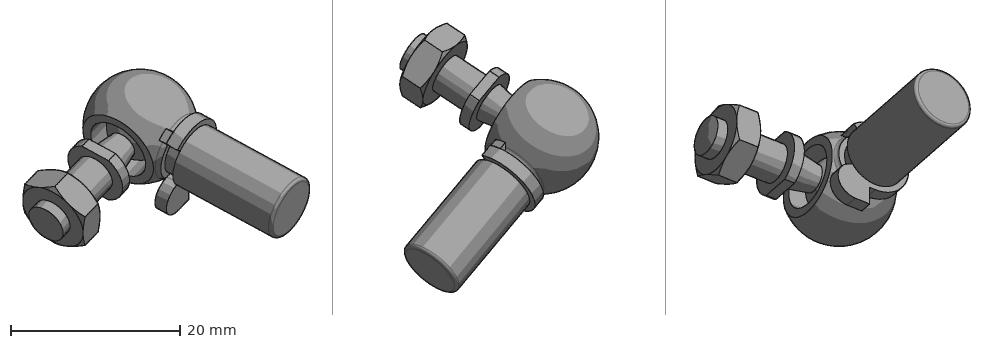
import cadquery as cq
import math


SOCKET_RADIUS = 6.8
SOCKET_FACE_DEPTH = 4.45
SHANK_RADIUS = 4.0
SHANK_END = 22.0
SHANK_END_ROUND = 0.4
NECK_FILLET = 0.8

BALL_RADIUS = 4.0
STUD_RADIUS = 2.5
NECK_FACE_RADIUS = 1.93
COLLAR_START = 7.65
COLLAR_THICKNESS = 1.4
COLLAR_RADIUS = 4.0
COLLAR_FLATS = 7.0
STUD_EDGE = 18.95
STUD_TIP = 19.2

NUT_START = 14.13
NUT_THICKNESS = 3.42
NUT_FLATS = 8.8
NUT_SIDES = 6
NUT_CHAMFER_ANGLE = math.radians(30)

CLIP_START = 5.97
CLIP_WIDTH = 1.68
CLIP_RADIUS = 4.77
GROOVE_RADIUS = 3.2
GROOVE_CLEARANCE = 0.08
CLIP_END_ANGLE = 130
CLIP_TAIL_ANGLE = -90
NUB_START = 4.93
NUB_RADIUS = 4.7
NUB_THICKNESS = 1.6
TAB_RADIUS = 2.42
TAB_BOTTOM = -7.2
TAB_FRONT = -5.3
TAB_BACK = -0.8


def polar(radius, degrees):
    """Sketch point at a radius and an angle from the first sketch axis towards the second."""
    angle = math.radians(degrees)
    return radius * math.cos(angle), radius * math.sin(angle)


def make_socket():
    """Sphere and filleted shank, cut flat at the open face."""
    fillet_r = SHANK_RADIUS + NECK_FILLET
    fillet_reach = SOCKET_RADIUS + NECK_FILLET
    fillet_x = math.sqrt(fillet_reach ** 2 - fillet_r ** 2)
    to_tangent = SOCKET_RADIUS / fillet_reach
    tangent = (fillet_x * to_tangent, fillet_r * to_tangent)
    mid_angle = (math.atan2(-fillet_r, -fillet_x) - math.pi / 2) / 2
    fillet_mid = (
        fillet_x + NECK_FILLET * math.cos(mid_angle),
        fillet_r + NECK_FILLET * math.sin(mid_angle),
    )
    body = (
        cq.Workplane("XY")
        .moveTo(-SOCKET_RADIUS, 0)
        .threePointArc((0, SOCKET_RADIUS), tangent)
        .threePointArc(fillet_mid, (fillet_x, SHANK_RADIUS))
        .lineTo(SHANK_END - SHANK_END_ROUND, SHANK_RADIUS)
        .radiusArc((SHANK_END, SHANK_RADIUS - SHANK_END_ROUND), SHANK_END_ROUND)
        .lineTo(SHANK_END, 0)
        .close()
        .revolve(360, (0, 0, 0), (1, 0, 0))
    )
    below_face = (
        cq.Workplane("XZ", origin=(0, -SOCKET_FACE_DEPTH, 0))
        .circle(SOCKET_RADIUS)
        .extrude(SOCKET_RADIUS)
    )
    return body.cut(below_face)


def make_groove():
    """Ring that is removed from the shank to seat the clip."""
    return (
        cq.Workplane("YZ", origin=(CLIP_START - GROOVE_CLEARANCE, 0, 0))
        .circle(CLIP_RADIUS)
        .circle(GROOVE_RADIUS)
        .extrude(CLIP_WIDTH + GROOVE_CLEARANCE)
    )


def make_ball_clearance():
    """Space between the ball and the straight bore that opens at the socket face."""
    return (
        cq.Workplane("XY")
        .moveTo(BALL_RADIUS, 0)
        .lineTo(BALL_RADIUS, -SOCKET_FACE_DEPTH)
        .lineTo(0, -SOCKET_FACE_DEPTH)
        .lineTo(0, -BALL_RADIUS)
        .threePointArc(polar(BALL_RADIUS, -45), (BALL_RADIUS, 0))
        .close()
        .revolve(360, (0, 0, 0), (0, 1, 0))
    )


def make_stud():
    """Tapered neck and domed pin, running from inside the ball to the tip."""
    taper = (STUD_RADIUS - NECK_FACE_RADIUS) / (COLLAR_START - SOCKET_FACE_DEPTH)
    neck_start = BALL_RADIUS / 2
    neck_start_radius = STUD_RADIUS - taper * (COLLAR_START - neck_start)
    dome_height = STUD_TIP - STUD_EDGE
    dome_radius = (STUD_RADIUS ** 2 + dome_height ** 2) / (2 * dome_height)
    dome_mid_x = STUD_RADIUS / 2
    dome_mid_y = dome_radius - STUD_TIP - math.sqrt(dome_radius ** 2 - dome_mid_x ** 2)
    return (
        cq.Workplane("XY")
        .moveTo(0, -neck_start)
        .lineTo(neck_start_radius, -neck_start)
        .lineTo(STUD_RADIUS, -COLLAR_START)
        .lineTo(STUD_RADIUS, -STUD_EDGE)
        .threePointArc((dome_mid_x, dome_mid_y), (0, -STUD_TIP))
        .close()
        .revolve(360, (0, 0, 0), (0, 1, 0))
    )


def make_collar():
    """Round collar with two wrench flats facing +Z and -Z."""
    plane = cq.Workplane("XZ", origin=(0, -COLLAR_START, 0))
    disc = plane.circle(COLLAR_RADIUS).extrude(COLLAR_THICKNESS)
    flats = plane.rect(2 * COLLAR_RADIUS, COLLAR_FLATS).extrude(COLLAR_THICKNESS)
    return disc.intersect(flats)


def make_nut():
    """Hexagon with corners towards +Z and -Z, conically chamfered on both faces."""
    face_radius = NUT_FLATS / 2
    corner_radius = face_radius / math.cos(math.pi / NUT_SIDES)
    chamfer = (corner_radius - face_radius) * math.tan(NUT_CHAMFER_ANGLE)
    nut_end = NUT_START + NUT_THICKNESS
    corner_step = 360 / NUT_SIDES
    corners = [polar(corner_radius, corner_step * (i + 0.5)) for i in range(NUT_SIDES)]
    hexagon = (
        cq.Workplane("XZ", origin=(0, -NUT_START, 0))
        .polyline(corners)
        .close()
        .extrude(NUT_THICKNESS)
    )
    envelope = (
        cq.Workplane("XY")
        .moveTo(0, -NUT_START)
        .lineTo(face_radius, -NUT_START)
        .lineTo(corner_radius, -NUT_START - chamfer)
        .lineTo(corner_radius, -nut_end + chamfer)
        .lineTo(face_radius, -nut_end)
        .lineTo(0, -nut_end)
        .close()
        .revolve(360, (0, 0, 0), (0, 1, 0))
    )
    return hexagon.intersect(envelope)


def make_clip_ring():
    """Open ring that wraps the groove from the thumb tab to the free end."""
    mid_angle = (CLIP_END_ANGLE + CLIP_TAIL_ANGLE) / 2
    return (
        cq.Workplane("YZ", origin=(CLIP_START, 0, 0))
        .moveTo(*polar(GROOVE_RADIUS, CLIP_TAIL_ANGLE))
        .lineTo(*polar(CLIP_RADIUS, CLIP_TAIL_ANGLE))
        .threePointArc(polar(CLIP_RADIUS, mid_angle), polar(CLIP_RADIUS, CLIP_END_ANGLE))
        .lineTo(*polar(GROOVE_RADIUS, CLIP_END_ANGLE))
        .threePointArc(polar(GROOVE_RADIUS, mid_angle), polar(GROOVE_RADIUS, CLIP_TAIL_ANGLE))
        .close()
        .extrude(CLIP_WIDTH)
    )


def make_clip_nub():
    """Locking nub at the free end, its back parallel to its end, reaching into the socket sphere."""
    bar = (
        cq.Workplane("YZ", origin=(NUB_START, 0, 0))
        .moveTo(GROOVE_RADIUS, 0)
        .lineTo(NUB_RADIUS, 0)
        .lineTo(NUB_RADIUS, -NUB_THICKNESS)
        .lineTo(GROOVE_RADIUS, -NUB_THICKNESS)
        .close()
        .extrude(CLIP_START - NUB_START)
        .rotate((0, 0, 0), (1, 0, 0), CLIP_END_ANGLE)
    )
    rounding = (
        cq.Workplane("YZ", origin=(NUB_START, 0, 0))
        .circle(NUB_RADIUS)
        .extrude(CLIP_START - NUB_START)
    )
    return bar.intersect(rounding)


def make_clip_tab():
    """Rounded thumb tab below the shank, with a web that joins it to the tail of the ring."""
    centre_y = TAB_FRONT + TAB_RADIUS
    centre_z = TAB_BOTTOM + TAB_RADIUS
    tab = (
        cq.Workplane("YZ", origin=(CLIP_START, 0, 0))
        .moveTo(TAB_BACK, TAB_BOTTOM)
        .lineTo(centre_y, TAB_BOTTOM)
        .threePointArc((TAB_FRONT, centre_z), (centre_y, centre_z + TAB_RADIUS))
        .lineTo(TAB_BACK, centre_z + TAB_RADIUS)
        .close()
        .extrude(CLIP_WIDTH)
    )
    web = (
        cq.Workplane("YZ", origin=(CLIP_START, 0, 0))
        .polyline([(0, 0), (0, -CLIP_RADIUS), (TAB_BACK, -CLIP_RADIUS), (TAB_BACK, 0)])
        .close()
        .extrude(CLIP_WIDTH)
    )
    return tab.union(web)


result = (
    make_socket()
    .cut(make_groove())
    .cut(make_ball_clearance())
    .union(make_stud())
    .union(make_collar())
    .union(make_nut())
    .union(make_clip_ring())
    .union(make_clip_nub())
    .union(make_clip_tab())
)